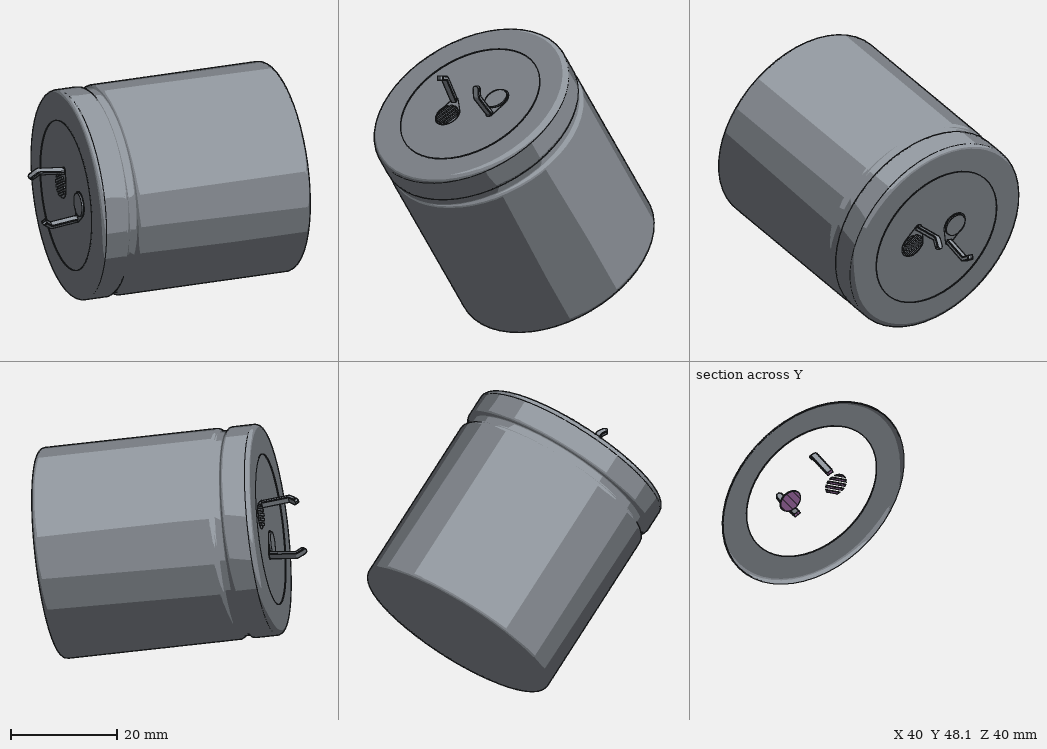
import cadquery as cq
import math


SLEEVE_DIAMETER = 39.95
SLEEVE_LENGTH = 42.05
SLEEVE_WALL = 0.2
LIP_OPENING_DIAMETER = 28.55
RIM_FILLET = 0.95
CAN_FRONT_Y = 1.0

GROOVE_FLOOR_DIAMETER = 38.8
GROOVE_CENTER_Y = 6.55
GROOVE_FLOOR_WIDTH = 1.05
GROOVE_SHOULDER_RADIUS = 0.8
GROOVE_ROOT_RADIUS = 0.35

STRIPE_CENTER_ANGLE = 135.0
STRIPE_SPAN_ANGLE = 26.0

TERMINAL_PITCH = 10.0
LUG_DIAMETER = 5.0
LUG_END_RADIUS = 0.75
LUG_THICKNESS = 0.05
LUG_ANGLE = 68.0
RIVET_DIAMETER = 4.5
RIVET_HEIGHT = 0.35

HATCH_PITCH = 0.9
HATCH_WIDTH = 0.45
HATCH_COUNT = 5
HATCH_SHIFT = -0.25
HATCH_ANGLE = 30.0

OVERALL_LENGTH = 48.15
PIN_THICKNESS = 0.8
PIN_WIDTH = 1.3
PIN_EDGE_CHAMFER = 0.15
PIN_BEND_OFFSET = 4.1
PIN_BEND_REACH = 4.15
PIN_LEAN_ANGLE = 8.8
PIN_HOOK_ANGLE = 42.0
PIN_TIP_CHAMFER = 0.45

LUG_FRONT_Y = CAN_FRONT_Y - LUG_THICKNESS
RIVET_FRONT_Y = LUG_FRONT_Y - RIVET_HEIGHT
PIN_LEAN = math.radians(PIN_LEAN_ANGLE)
PIN_HOOK = math.radians(PIN_HOOK_ANGLE)
PIN_BASE_OFFSET = PIN_BEND_OFFSET - (CAN_FRONT_Y + PIN_BEND_REACH) * math.tan(PIN_LEAN)


def can_profile(inset):
    """Half section of the grooved can in XY, set in from the outer surface by `inset`."""
    radius = SLEEVE_DIAMETER / 2 - inset
    floor_radius = GROOVE_FLOOR_DIAMETER / 2 - inset
    front = inset
    back = SLEEVE_LENGTH - inset
    fillet = RIM_FILLET - inset
    shoulder = GROOVE_SHOULDER_RADIUS - inset
    root = GROOVE_ROOT_RADIUS + inset

    depth = radius - floor_radius
    sweep = math.acos(1 - depth / (shoulder + root))
    middle = sweep / 2
    floor_half = GROOVE_FLOOR_WIDTH / 2
    joint_half = floor_half + root * math.sin(sweep)
    mouth_half = joint_half + shoulder * math.sin(sweep)
    joint_radius = floor_radius + root * (1 - math.cos(sweep))

    def shoulder_middle(side):
        return (radius - shoulder * (1 - math.cos(middle)),
                GROOVE_CENTER_Y + side * (mouth_half - shoulder * math.sin(middle)))

    def root_middle(side):
        return (floor_radius + root * (1 - math.cos(middle)),
                GROOVE_CENTER_Y + side * (floor_half + root * math.sin(middle)))

    corner = fillet * (1 - math.sqrt(0.5))
    return (
        cq.Workplane("XY")
        .moveTo(0, front)
        .lineTo(radius - fillet, front)
        .threePointArc((radius - corner, front + corner), (radius, front + fillet))
        .lineTo(radius, GROOVE_CENTER_Y - mouth_half)
        .threePointArc(shoulder_middle(-1), (joint_radius, GROOVE_CENTER_Y - joint_half))
        .threePointArc(root_middle(-1), (floor_radius, GROOVE_CENTER_Y - floor_half))
        .lineTo(floor_radius, GROOVE_CENTER_Y + floor_half)
        .threePointArc(root_middle(1), (joint_radius, GROOVE_CENTER_Y + joint_half))
        .threePointArc(shoulder_middle(1), (radius, GROOVE_CENTER_Y + mouth_half))
        .lineTo(radius, back - fillet)
        .threePointArc((radius - corner, back - corner), (radius - fillet, back))
        .lineTo(0, back)
        .close()
    )


def revolved_can(inset):
    return can_profile(inset).revolve(360, (0, 0, 0), (0, 1, 0))


def disc(diameter, front, back):
    """Round disc with its axis along Y."""
    return (
        cq.Workplane("XZ", origin=(0, back, 0))
        .circle(diameter / 2)
        .extrude(back - front)
    )


def stripe_wedge():
    """Sector around the Y axis that holds the polarity stripe, as long as and wider than the sleeve."""
    half_span = math.radians(STRIPE_SPAN_ANGLE / 2)
    side = SLEEVE_DIAMETER
    corner_x = side * math.cos(half_span)
    corner_z = side * math.sin(half_span)
    return (
        cq.Workplane("XZ", origin=(0, SLEEVE_LENGTH, 0))
        .polyline([(0, 0), (corner_x, -corner_z), (corner_x, corner_z)])
        .close()
        .extrude(SLEEVE_LENGTH)
        .rotate((0, 0, 0), (0, 1, 0), -STRIPE_CENTER_ANGLE)
    )


def make_sleeve():
    """Shrink sleeve around the can, closed at the back, with a lip around its front opening."""
    sleeve = (
        revolved_can(0)
        .cut(revolved_can(SLEEVE_WALL))
        .cut(disc(LIP_OPENING_DIAMETER, 0, SLEEVE_WALL))
    )
    wedge = stripe_wedge()
    return sleeve.cut(wedge).union(sleeve.intersect(wedge), clean=False)


def make_lug():
    """Teardrop plate around the origin, narrowing toward +X, on the can's front face."""
    large = LUG_DIAMETER / 2
    small = LUG_END_RADIUS
    reach = PIN_BASE_OFFSET + PIN_THICKNESS / 2
    tangent = math.acos((large - small) / reach)
    cos_t = math.cos(tangent)
    sin_t = math.sin(tangent)
    return (
        cq.Workplane("XZ", origin=(0, CAN_FRONT_Y, 0))
        .moveTo(large * cos_t, large * sin_t)
        .threePointArc((-large, 0), (large * cos_t, -large * sin_t))
        .lineTo(reach + small * cos_t, -small * sin_t)
        .threePointArc((reach + small, 0), (reach + small * cos_t, small * sin_t))
        .close()
        .extrude(LUG_THICKNESS)
    )


def make_pin():
    """Flat snap-in pin: a long leg leaning out along +X, then a hook back toward the rivet."""
    bend_x = PIN_BEND_OFFSET
    bend_y = -PIN_BEND_REACH
    tip_run = OVERALL_LENGTH - SLEEVE_LENGTH - PIN_BEND_REACH - PIN_THICKNESS * math.sin(PIN_HOOK)
    tip_x = bend_x - tip_run * math.tan(PIN_HOOK)
    tip_y = bend_y - tip_run
    middle = (PIN_LEAN - PIN_HOOK) / 2

    def outer(x, y, angle):
        return (x + PIN_THICKNESS * math.cos(angle), y + PIN_THICKNESS * math.sin(angle))

    pin = (
        cq.Workplane("XY", origin=(0, 0, -PIN_WIDTH / 2))
        .moveTo(PIN_BASE_OFFSET, CAN_FRONT_Y)
        .lineTo(bend_x, bend_y)
        .lineTo(tip_x, tip_y)
        .lineTo(*outer(tip_x, tip_y, -PIN_HOOK))
        .lineTo(*outer(bend_x, bend_y, -PIN_HOOK))
        .threePointArc(outer(bend_x, bend_y, middle), outer(bend_x, bend_y, PIN_LEAN))
        .lineTo(PIN_BASE_OFFSET + PIN_THICKNESS / math.cos(PIN_LEAN), CAN_FRONT_Y)
        .close()
        .extrude(PIN_WIDTH)
    )
    tip_corners = pin.edges(cq.selectors.BoxSelector(
        (tip_x - PIN_TIP_CHAMFER, tip_y - PIN_THICKNESS, -PIN_WIDTH),
        (tip_x + PIN_THICKNESS, tip_y + PIN_TIP_CHAMFER, PIN_WIDTH),
    )).edges("not |Z")
    return tip_corners.chamfer(PIN_TIP_CHAMFER).faces("|Z").chamfer(PIN_EDGE_CHAMFER)


def make_terminal():
    """Lug, rivet head and pin of one terminal, with the rivet on the Y axis."""
    rivet = disc(RIVET_DIAMETER, RIVET_FRONT_Y, LUG_FRONT_Y)
    terminal = make_lug().union(rivet).union(make_pin())
    return terminal.rotate((0, 0, 0), (0, 1, 0), -LUG_ANGLE)


def make_hatch():
    """Parallel grooves across a rivet head centered on the Y axis, as deep as the head."""
    first = HATCH_SHIFT - HATCH_PITCH * (HATCH_COUNT - 1) / 2
    spots = [(0, first + i * HATCH_PITCH) for i in range(HATCH_COUNT)]
    bars = (
        cq.Workplane("XZ", origin=(0, LUG_FRONT_Y, 0))
        .pushPoints(spots)
        .rect(RIVET_DIAMETER, HATCH_WIDTH)
        .extrude(RIVET_HEIGHT)
    )
    return (
        bars.rotate((0, 0, 0), (0, 1, 0), -HATCH_ANGLE)
        .intersect(disc(RIVET_DIAMETER, RIVET_FRONT_Y, LUG_FRONT_Y))
    )


def make_can():
    """Grooved can inside the sleeve, carrying both terminals on its flat front face."""
    can = revolved_can(SLEEVE_WALL).cut(disc(SLEEVE_DIAMETER, 0, CAN_FRONT_Y))
    negative = make_terminal().cut(make_hatch())
    positive = make_terminal().rotate((0, 0, 0), (0, 1, 0), 180)
    can = can.union(negative.translate((-TERMINAL_PITCH / 2, 0, 0)))
    return can.union(positive.translate((TERMINAL_PITCH / 2, 0, 0)))


sleeve = make_sleeve()
can = make_can()

result = cq.Compound.makeCompound([sleeve.solids().val(), can.solids().val()])